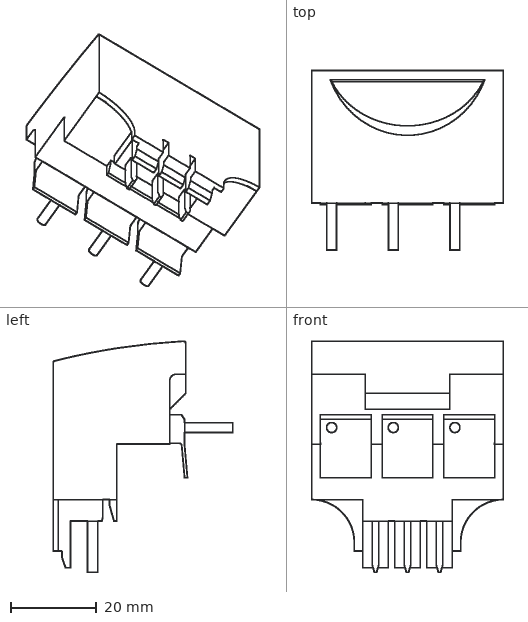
import cadquery as cq
import math


housing_width = 44.8
upper_depth = 31.0
lower_depth = 14.9
step_height = 13.0
top_height = 37.08
back_height = 32.35
crown_radius = 160.0
front_edge_radius = 0.6
back_edge_radius = 0.55

recess_depth = 3.75
recess_top = 29.3
recess_corner_radius = 1.5
hook_width = 19.7
hook_nose_height = 24.85

grip_radius = 19.4
grip_front_depth = 15.17
grip_front_height = 35.4
grip_wall_tilt = 10.4
grip_floor_slope = 35.0
grip_floor_height = 32.2
grip_lip_radius = 2.2
grip_lip_depth = 0.42
grip_lip_height = 31.6

terminal_pitch = 14.4
pad_width = 11.9
pad_top = 19.85
pad_bottom = 13.15
pad_front_depth = 30.7
pad_bevel_depth = 0.7
pad_bevel_height = 1.05
flap_thickness = 0.73
flap_bottom = 5.1
flap_lean = 0.715
flap_root_radius = 0.5
round_pin_diameter = 2.35
round_pin_end = 42.0
round_pin_height = 16.85
round_pin_offset = -3.32

plug_width = 20.95
plug_depth = 11.65
plug_height = 5.0
plug_bevel_depth = 0.25
plug_bevel_height = 0.9
skirt_root_thickness = 1.75
skirt_tip_thickness = 0.7
skirt_straight_height = 1.3

leg_width = 6.0
contact_pitch = (plug_width - leg_width) / 2
leg_front_depth = 4.1
leg_shoulder_depth = 2.05
leg_shoulder_height = 12.0
leg_shoulder_radius = 0.2
leg_taper_start = 13.5
leg_tip_back_depth = 2.9
leg_length = 15.95
flat_pin_width = 1.55
flat_pin_tip_width = 0.6
flat_pin_back_depth = 8.0
flat_pin_front_depth = 10.45
flat_pin_taper_start = 15.1
flat_pin_length = 17.0

wing_thickness = 1.2
wing_half_width = 12.45
wing_height = 12.0

half_width = housing_width / 2
recess_face_depth = upper_depth - recess_depth


def side_profile(points, width, center_x=0.0):
    """Extrude an outline of (depth in front of the back face, height) points along X."""
    outline = [(-depth, height) for depth, height in points]
    plane = cq.Workplane("YZ").workplane(offset=center_x - width / 2)
    return plane.polyline(outline).close().extrude(width)


def box(x_range, depth_range, z_range):
    """Box between two X values, two depths and two heights."""
    size_x = x_range[1] - x_range[0]
    size_y = depth_range[1] - depth_range[0]
    size_z = z_range[1] - z_range[0]
    corner = (x_range[0], -depth_range[1], z_range[0])
    return cq.Workplane("XY").box(size_x, size_y, size_z, centered=False).translate(corner)


def make_housing():
    """L-shaped block with a crowned top and rounded top edges."""
    crown_points = (-upper_depth, top_height), (0, back_height)
    chord = math.dist(*crown_points)
    sagitta = crown_radius - math.sqrt(crown_radius**2 - (chord / 2) ** 2)
    body = (
        cq.Workplane("YZ")
        .workplane(offset=-half_width)
        .moveTo(0, 0)
        .lineTo(-lower_depth, 0)
        .lineTo(-lower_depth, step_height)
        .lineTo(-upper_depth, step_height)
        .lineTo(*crown_points[0])
        .sagittaArc(crown_points[1], sagitta)
        .close()
        .extrude(housing_width)
    )
    front_edge = cq.selectors.NearestToPointSelector((0, -upper_depth, top_height))
    body = body.edges(front_edge).fillet(front_edge_radius)
    back_edge = cq.selectors.NearestToPointSelector((0, 0, back_height))
    return body.edges(back_edge).fillet(back_edge_radius)


def cut_front_recess(body):
    """Set the lower front back, leaving a hook with a 45 degree nose in the middle."""
    recess = box(
        (-half_width, half_width), (recess_face_depth, upper_depth), (step_height, recess_top)
    )
    inner_edge = cq.selectors.NearestToPointSelector((0, -recess_face_depth, recess_top))
    recess = recess.edges(inner_edge).fillet(recess_corner_radius)
    hook = side_profile(
        [
            (recess_face_depth, recess_top),
            (upper_depth, recess_top),
            (upper_depth, hook_nose_height),
            (recess_face_depth, hook_nose_height - recess_depth),
        ],
        hook_width,
    )
    return body.cut(recess.cut(hook))


def cut_finger_grip(body):
    """Segment-shaped pocket with a leaning round wall, a sloping floor and a rounded back lip."""
    tilt = math.radians(grip_wall_tilt)
    axis = cq.Vector(0, -math.sin(tilt), math.cos(tilt))
    reach = 2 * grip_radius
    axis_point = cq.Vector(0, grip_radius / math.cos(tilt) - grip_front_depth, grip_front_height)
    round_wall = cq.Solid.makeCylinder(grip_radius, 2 * reach, axis_point - axis * reach, axis)
    floor_drop = (upper_depth - grip_lip_depth) * math.tan(math.radians(grip_floor_slope))
    above_floor = side_profile(
        [
            (grip_lip_depth, grip_floor_height),
            (upper_depth, grip_floor_height - floor_drop),
            (upper_depth, top_height),
            (grip_lip_depth, top_height),
        ],
        housing_width,
    )
    lip = (
        cq.Workplane("YZ")
        .center(-grip_lip_depth, grip_lip_height)
        .circle(grip_lip_radius)
        .extrude(half_width, both=True)
    )
    return body.cut(above_floor.intersect(cq.Workplane(round_wall)).cut(lip))


def make_terminal(center_x):
    """Bevelled pad with a thin flap hanging from its front and a round pin."""
    flap_back_depth = pad_front_depth - flap_thickness
    pad = side_profile(
        [
            (recess_face_depth, pad_bottom),
            (recess_face_depth, pad_top),
            (pad_front_depth - pad_bevel_depth, pad_top),
            (pad_front_depth, pad_top - pad_bevel_height),
            (pad_front_depth, pad_bottom),
            (pad_front_depth + flap_lean, flap_bottom),
            (flap_back_depth + flap_lean, flap_bottom),
            (flap_back_depth, pad_bottom),
        ],
        pad_width,
        center_x,
    )
    flap_root = cq.selectors.NearestToPointSelector((center_x, -flap_back_depth, pad_bottom))
    pad = pad.edges(flap_root).fillet(flap_root_radius)
    pin = (
        cq.Workplane("XZ", origin=(center_x + round_pin_offset, 0, round_pin_height))
        .workplane(offset=recess_face_depth)
        .circle(round_pin_diameter / 2)
        .extrude(round_pin_end - recess_face_depth)
    )
    return pad.union(pin)


def make_plug_block():
    """Block under the housing with a slightly bevelled front."""
    return side_profile(
        [
            (0, 0),
            (plug_depth, 0),
            (plug_depth, plug_bevel_height - plug_height),
            (plug_depth - plug_bevel_depth, -plug_height),
            (0, -plug_height),
        ],
        plug_width,
    )


def make_skirt():
    """Tapered wall hanging from the housing's lower front, in front of the plug block."""
    return side_profile(
        [
            (lower_depth, 0),
            (lower_depth, -plug_height),
            (lower_depth - skirt_tip_thickness, -plug_height),
            (lower_depth - skirt_root_thickness, -skirt_straight_height),
            (lower_depth - skirt_root_thickness, 0),
        ],
        plug_width,
    )


def make_leg(center_x):
    """Leg with a shoulder and a slanted tip on its back side."""
    leg = side_profile(
        [
            (0, 0),
            (leg_front_depth, 0),
            (leg_front_depth, -leg_length),
            (leg_tip_back_depth, -leg_length),
            (leg_shoulder_depth, -leg_taper_start),
            (leg_shoulder_depth, -leg_shoulder_height),
            (0, -leg_shoulder_height),
        ],
        leg_width,
        center_x,
    )
    shoulder = cq.selectors.NearestToPointSelector(
        (center_x, -leg_shoulder_depth, -leg_shoulder_height)
    )
    return leg.edges(shoulder).fillet(leg_shoulder_radius)


def make_flat_pin(center_x):
    """Flat contact pin tapering to a narrow tip."""
    half = flat_pin_width / 2
    half_tip = flat_pin_tip_width / 2
    outline = [
        (-half, 0),
        (half, 0),
        (half, -flat_pin_taper_start),
        (half_tip, -flat_pin_length),
        (-half_tip, -flat_pin_length),
        (-half, -flat_pin_taper_start),
    ]
    return (
        cq.Workplane("XZ", origin=(center_x, -flat_pin_back_depth, 0))
        .polyline(outline)
        .close()
        .extrude(flat_pin_front_depth - flat_pin_back_depth)
    )


def make_wing():
    """Thin wing on the +X side of the plug, curving out to the housing's edge."""
    radius = half_width - wing_half_width
    inner_x = plug_width / 2
    arc_middle = radius * (1 - math.sqrt(0.5))
    return (
        cq.Workplane("XZ")
        .moveTo(inner_x, 0)
        .lineTo(half_width, 0)
        .threePointArc((wing_half_width + arc_middle, -arc_middle), (wing_half_width, -radius))
        .lineTo(wing_half_width, -wing_height)
        .lineTo(inner_x, -wing_height)
        .close()
        .extrude(wing_thickness)
    )


result = cut_finger_grip(cut_front_recess(make_housing()))
result = result.union(make_plug_block()).union(make_skirt())
for side in (-1, 0, 1):
    result = result.union(make_terminal(side * terminal_pitch))
    result = result.union(make_leg(side * contact_pitch))
    result = result.union(make_flat_pin(side * contact_pitch))
wing = make_wing()
result = result.union(wing).union(wing.mirror("YZ"))